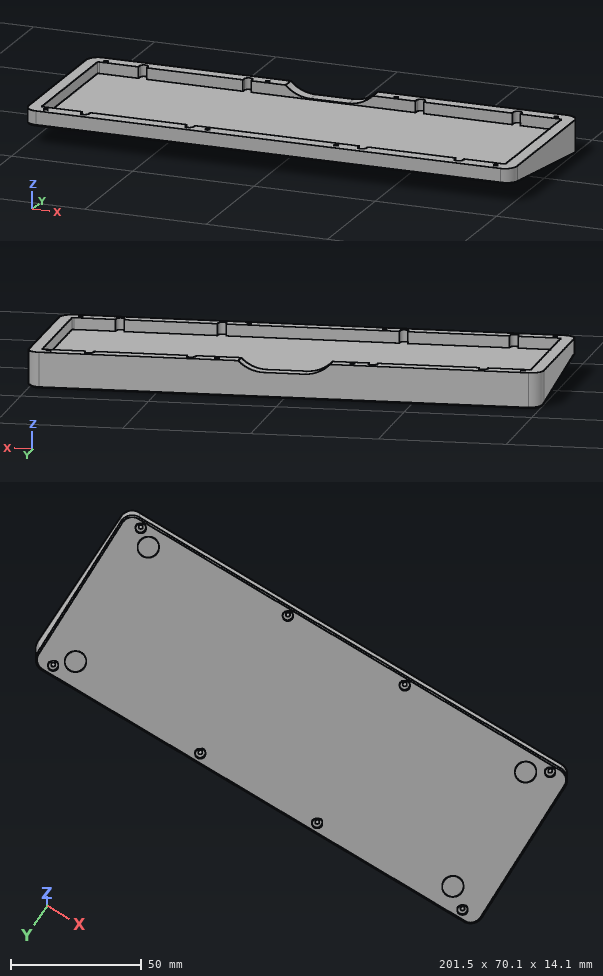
import cadquery as cq
import math

length = 201.5
width = 70.1
height = 14.1
slope = math.radians(6.5)
corner_radius = 5.0
bottom_chamfer = 0.6

pocket_length = 191.2
pocket_width = 58.8
pocket_depth = 4.6
pocket_corner_radius = 0.6

notch_width = 3.5
notch_reach = 3.0
notch_xs = (-77.2, -34.0, 37.0, 77.0)

screw_diameter = 1.63
screw_head_diameter = 4.0
screw_head_depth = 1.6
screw_xs = (-92.9, -26.2, 26.8, 92.7)
screw_ys = (-31.8, 31.2)

cable_x = -0.2
cable_top_width = 35.9
cable_depth = 4.2
cable_flank_radius = 14.1

foot_diameter = 8.3
foot_depth = 0.6
foot_xs = (-86.5, 84.6)
foot_ys = (-27.0, 25.4)

low_y = width / 2 - bottom_chamfer


def underside_z(y):
    """Height of the sloping underside at depth position y."""
    return (low_y - y) * math.tan(slope)


def make_body():
    """Rounded block cut to a wedge, with its lower rim chamfered."""
    front = -width / 2
    back = width / 2
    wedge = (
        cq.Workplane("YZ")
        .polyline([
            (front, height),
            (front, underside_z(front)),
            (back, underside_z(back)),
            (back, height),
        ])
        .close()
        .extrude(length / 2, both=True)
    )
    wedge = wedge.edges("|Z").fillet(corner_radius)
    return wedge.faces("<Z").chamfer(bottom_chamfer)


def make_pocket():
    """Pocket volume together with the notches along both long sides."""
    floor_z = height - pocket_depth
    pocket = (
        cq.Workplane("XY", origin=(0, 0, floor_z))
        .rect(pocket_length, pocket_width)
        .extrude(pocket_depth)
        .edges("|Z")
        .fillet(pocket_corner_radius)
    )
    notch_length = pocket_width + 2 * notch_reach
    notches = (
        cq.Workplane("XY", origin=(0, 0, floor_z))
        .pushPoints([(x, 0) for x in notch_xs])
        .slot2D(notch_length, notch_width, 90)
        .extrude(pocket_depth)
    )
    return pocket.union(notches)


def make_cable_opening():
    """Opening through the back wall; its flanks are arcs tangent to its floor."""
    r = cable_flank_radius
    floor_z = height - cable_depth
    half_top = cable_top_width / 2
    flank_run = math.sqrt(r**2 - (r - cable_depth)**2)
    half_floor = half_top - flank_run
    half_angle = math.acos((r - cable_depth) / r) / 2
    mid_x = half_floor + r * math.sin(half_angle)
    mid_z = floor_z + r * (1 - math.cos(half_angle))
    return (
        cq.Workplane("XZ", origin=(cable_x, width / 2, 0))
        .moveTo(-half_top, height)
        .threePointArc((-mid_x, mid_z), (-half_floor, floor_z))
        .lineTo(half_floor, floor_z)
        .threePointArc((mid_x, mid_z), (half_top, height))
        .close()
        .extrude(width / 2)
    )


def bottom_recess(x, y, diameter, depth):
    """Round recess, square to the sloping underside, centred at (x, y)."""
    up_normal = cq.Vector(0, math.sin(slope), math.cos(slope))
    centre = cq.Vector(x, y, underside_z(y))
    start = centre - up_normal * depth
    return cq.Workplane(cq.Solid.makeCylinder(diameter / 2, 2 * depth, start, up_normal))


result = make_body().cut(make_pocket()).cut(make_cable_opening())

for x in screw_xs:
    for y in screw_ys:
        hole = cq.Workplane("XY").center(x, y).circle(screw_diameter / 2).extrude(height)
        head = bottom_recess(x, y, screw_head_diameter, screw_head_depth)
        result = result.cut(hole).cut(head)

for x in foot_xs:
    for y in foot_ys:
        result = result.cut(bottom_recess(x, y, foot_diameter, foot_depth))